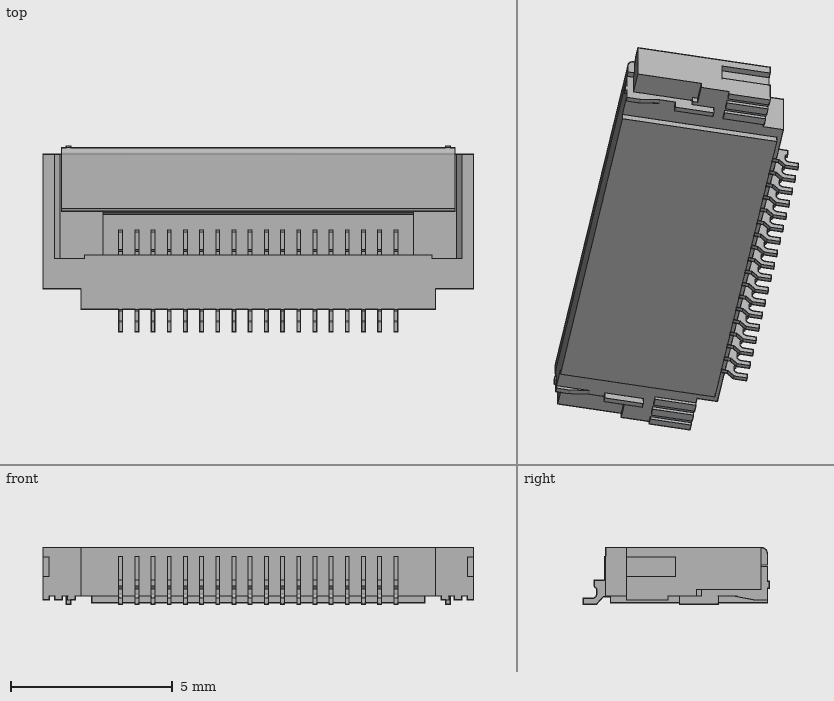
import cadquery as cq


LENGTH = 13.3
HEIGHT = 1.75
HOUSING_BOTTOM = 0.25
HOUSING_BACK = 4.8
FRONT_HALF = 5.48
SHOULDER_Y = 0.64

END_RELIEF_Y = 2.8
END_RELIEF_TOP = 0.45
END_STEP_Y = 2.97
END_STEP_HALF = 6.05

FOOT_SPANS = [(5.65, 5.89), (6.05, 6.29), (6.45, LENGTH / 2)]
FOOT_BOTTOM = 0.13
FOOT_BACK = 1.93

BASE_HALF = 5.15
BASE_BOTTOM = 0.04
BASE_FRONT = 0.15
BASE_BACK = 5.0

NOTCH_DEPTH = 0.19
NOTCH_BOTTOM = 0.86
NOTCH_TOP = 1.46
NOTCH_BACK = 2.15

RECESS_DEPTH = 0.16
RECESS_FLOOR = HEIGHT - RECESS_DEPTH
RECESS_TOP_HALF = 6.29
RECESS_FLOOR_HALF = RECESS_TOP_HALF - RECESS_DEPTH
RECESS_FRONT = 1.68
RECESS_CORNER_FRONT = 1.57
RECESS_CORNER_HALF = 5.36

WINDOW_HALF = 4.8
WINDOW_DEPTH = 0.27
WINDOW_FLOOR = RECESS_FLOOR - WINDOW_DEPTH

COVER_HALF = 6.08
COVER_BOTTOM = 1.21
COVER_TOP_FRONT = 3.13
COVER_BEVEL_FRONT = 3.05
COVER_BEVEL_HEIGHT = 0.03
COVER_LEAN_FRONT = 2.98
COVER_FOOT_FRONT = 2.93
COVER_BACK = BASE_BACK
COVER_ROUND = 0.2

LIP_TOP = 1.17

CONTACT_COUNT = 18
CONTACT_ROW_LENGTH = 8.5
CONTACT_PITCH = CONTACT_ROW_LENGTH / (CONTACT_COUNT - 1)
CONTACT_WIDTH = 0.12
TIP_HEIGHT = 0.09
TIP_BACK = 2.45
TIP_STEP_Y = 1.85
TIP_STEP_DROP = 0.05
TIP_RAMP = 0.05
LEAD_END = -0.69
LEAD_TOP = 1.48
LEAD_PROUD = 0.04
LEAD_THICKNESS = 0.19
LEAD_BOTTOM = 0.23
BUMP_FRONT = -0.36
BUMP_TOP = 0.75
BUMP_CHAMFER = 0.08
NECK_FRONT = BUMP_FRONT + BUMP_CHAMFER
NECK_TOP = 0.48
NECK_BOTTOM = 0.32
BEND_END = -0.4
BEND_RADIUS = 0.13
LEAD_BEND_Y = -0.08

NAIL_INNER = 5.79
NAIL_OUTER = 5.93
NAIL_BACK = 5.05
NAIL_NIB_BOTTOM = 0.49
NAIL_NIB_TOP = 0.72
NAIL_PAD_FRONT = 2.27
NAIL_PAD_BACK = 3.48
NAIL_ARM_TOP = 0.8
NAIL_RAMP_FRONT = 3.85
NAIL_RAMP_BACK = 4.59
NAIL_RAMP_TOP = 0.28


def block(x0, x1, y0, y1, z0, z1):
    return cq.Workplane("XY").box(x1 - x0, y1 - y0, z1 - z0, centered=False).translate((x0, y0, z0))


def centred_block(half, y0, y1, z0, z1):
    return block(-half, half, y0, y1, z0, z1)


def both_ends(solid):
    return solid.union(solid.mirror("YZ"))


def side_extrusion(outline, x0, x1):
    """Extrude a closed outline lying in the YZ plane from x0 to x1."""
    return outline.close().extrude(x1 - x0).translate((x0, 0, 0))


def make_housing():
    half = LENGTH / 2
    housing = centred_block(FRONT_HALF, 0, HOUSING_BACK, HOUSING_BOTTOM, HEIGHT)
    housing = housing.union(centred_block(half, SHOULDER_Y, HOUSING_BACK, HOUSING_BOTTOM, HEIGHT))
    relief = block(END_STEP_HALF, half, END_RELIEF_Y, HOUSING_BACK, HOUSING_BOTTOM, END_RELIEF_TOP)
    inner_relief = block(NAIL_OUTER, END_STEP_HALF, END_STEP_Y, HOUSING_BACK, HOUSING_BOTTOM, END_RELIEF_TOP)
    relief = relief.union(inner_relief)
    notch = block(half - NOTCH_DEPTH, half, SHOULDER_Y, NOTCH_BACK, NOTCH_BOTTOM, NOTCH_TOP)
    housing = housing.cut(both_ends(relief)).cut(both_ends(notch))
    for inner, outer in FOOT_SPANS:
        foot = block(inner, outer, SHOULDER_Y, FOOT_BACK, FOOT_BOTTOM, HOUSING_BOTTOM)
        housing = housing.union(both_ends(foot))
    base = centred_block(BASE_HALF, BASE_FRONT, BASE_BACK, BASE_BOTTOM, HOUSING_BOTTOM)
    lip = centred_block(NAIL_OUTER, HOUSING_BACK, BASE_BACK, HOUSING_BOTTOM, LIP_TOP)
    return housing.union(base).union(lip)


def make_recess():
    section = [
        (-RECESS_FLOOR_HALF, RECESS_FLOOR),
        (RECESS_FLOOR_HALF, RECESS_FLOOR),
        (RECESS_TOP_HALF, HEIGHT),
        (-RECESS_TOP_HALF, HEIGHT),
    ]
    recess = cq.Workplane("XZ", origin=(0, HOUSING_BACK, 0)).polyline(section).close()
    recess = recess.extrude(HOUSING_BACK - RECESS_CORNER_FRONT)
    ledge = centred_block(RECESS_CORNER_HALF, RECESS_CORNER_FRONT, RECESS_FRONT, RECESS_FLOOR, HEIGHT)
    window = centred_block(WINDOW_HALF, RECESS_FRONT, COVER_TOP_FRONT, WINDOW_FLOOR, RECESS_FLOOR)
    return recess.cut(ledge).union(window)


def make_cover():
    outline = (
        cq.Workplane("YZ")
        .moveTo(COVER_FOOT_FRONT, COVER_BOTTOM)
        .lineTo(COVER_BACK, COVER_BOTTOM)
        .lineTo(COVER_BACK, HEIGHT - COVER_ROUND)
        .radiusArc((COVER_BACK - COVER_ROUND, HEIGHT), -COVER_ROUND)
        .lineTo(COVER_TOP_FRONT, HEIGHT)
        .lineTo(COVER_BEVEL_FRONT, HEIGHT - COVER_BEVEL_HEIGHT)
        .lineTo(COVER_LEAN_FRONT, WINDOW_FLOOR + COVER_BEVEL_HEIGHT)
        .lineTo(COVER_FOOT_FRONT, WINDOW_FLOOR)
    )
    return side_extrusion(outline, -COVER_HALF, COVER_HALF)


def make_contact():
    """One contact centred on X = 0: a lead outside the front face and a tip in the window."""
    lead = (
        cq.Workplane("YZ")
        .moveTo(BASE_FRONT, LEAD_TOP)
        .lineTo(-LEAD_PROUD, LEAD_TOP)
        .lineTo(-LEAD_PROUD, BUMP_TOP)
        .lineTo(BUMP_FRONT, BUMP_TOP)
        .lineTo(BUMP_FRONT, NECK_TOP + BUMP_CHAMFER)
        .lineTo(NECK_FRONT, NECK_TOP)
        .lineTo(NECK_FRONT, NECK_BOTTOM)
        .radiusArc((BEND_END, LEAD_THICKNESS), BEND_RADIUS)
        .lineTo(LEAD_END, LEAD_THICKNESS)
        .lineTo(LEAD_END, 0)
        .lineTo(NECK_FRONT, 0)
        .lineTo(LEAD_BEND_Y, LEAD_BOTTOM)
        .lineTo(BASE_FRONT, LEAD_BOTTOM)
    )
    tip_top = WINDOW_FLOOR + TIP_HEIGHT
    tip = (
        cq.Workplane("YZ")
        .moveTo(RECESS_FRONT, COVER_BOTTOM)
        .lineTo(TIP_BACK, COVER_BOTTOM)
        .lineTo(TIP_BACK, tip_top - TIP_RAMP)
        .lineTo(TIP_BACK - TIP_RAMP, tip_top)
        .lineTo(TIP_STEP_Y, tip_top)
        .lineTo(TIP_STEP_Y - TIP_RAMP, tip_top - TIP_STEP_DROP)
        .lineTo(RECESS_FRONT, tip_top - TIP_STEP_DROP)
    )
    half = CONTACT_WIDTH / 2
    return side_extrusion(lead, -half, half).union(side_extrusion(tip, -half, half))


def make_nail():
    outline = (
        cq.Workplane("YZ")
        .moveTo(NAIL_PAD_FRONT, NAIL_ARM_TOP)
        .lineTo(NAIL_PAD_FRONT, 0)
        .lineTo(NAIL_PAD_BACK, 0)
        .lineTo(NAIL_PAD_BACK, NAIL_RAMP_TOP)
        .lineTo(NAIL_RAMP_FRONT, NAIL_RAMP_TOP)
        .lineTo(NAIL_RAMP_BACK, FOOT_BOTTOM)
        .lineTo(BASE_BACK, FOOT_BOTTOM)
        .lineTo(BASE_BACK, NAIL_NIB_BOTTOM)
        .lineTo(NAIL_BACK, NAIL_NIB_BOTTOM)
        .lineTo(NAIL_BACK, NAIL_NIB_TOP)
        .lineTo(BASE_BACK, NAIL_NIB_TOP)
        .lineTo(BASE_BACK, NAIL_ARM_TOP)
    )
    return side_extrusion(outline, NAIL_INNER, NAIL_OUTER)


result = make_housing().cut(make_recess()).union(make_cover())
contact = make_contact()
for index in range(CONTACT_COUNT):
    offset = index * CONTACT_PITCH - CONTACT_ROW_LENGTH / 2
    result = result.union(contact.translate((offset, 0, 0)))
result = result.union(both_ends(make_nail()))